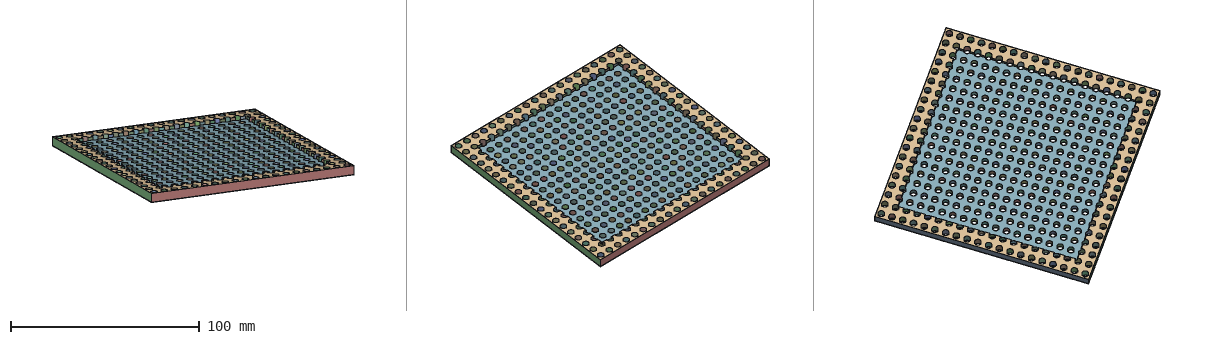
import cadquery as cq

plate_side = 119.5
plate_thickness = 5.0

holes_per_side = 20
wall_between_holes = 2.5
wall_at_plate_edge = 1.0
total_wall = (holes_per_side - 1) * wall_between_holes + 2 * wall_at_plate_edge
hole_diameter = (plate_side - total_wall) / holes_per_side
hole_pitch = hole_diameter + wall_between_holes

pocket_side = 100.1
pocket_depth = 1.7


def make_plate():
    """Plain plate centred on the origin in X and Y, standing on Z = 0."""
    return cq.Workplane("XY").box(
        plate_side, plate_side, plate_thickness, centered=(True, True, False)
    )


def cut_pocket(body):
    """Sink the square pocket into the top face."""
    return body.faces(">Z").workplane().rect(pocket_side, pocket_side).cutBlind(-pocket_depth)


def cut_hole_grid(body):
    """Drill the full grid of holes right through the plate."""
    holes = (
        cq.Workplane("XY")
        .rarray(hole_pitch, hole_pitch, holes_per_side, holes_per_side)
        .circle(hole_diameter / 2)
        .extrude(plate_thickness)
    )
    return body.cut(holes)


result = cut_hole_grid(cut_pocket(make_plate()))